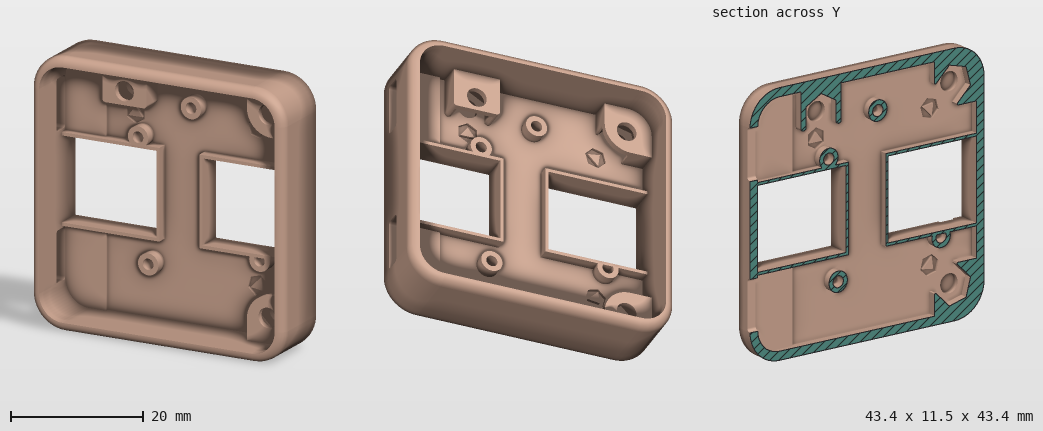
import cadquery as cq
import math

side = 43.4
depth = 11.5
corner_radius = 5.5
wall = 1.5
floor_thickness = 2.5
inner_side = side - 2 * wall
inner_half = inner_side / 2
back_y = depth / 2
floor_y = back_y - floor_thickness

step_width = 6.9
step_height = 0.5

window_inner_x = 3.95
window_height = 13.75
frame_thickness = 0.5
frame_height = 1.85

post_radius = 1.75
post_hole_radius = 0.9
post_centres = [(2.0, 14.5), (-7.07, 8.55), (13.7, -7.85), (-5.35, -11.3)]

nut_half_width = 2.75
nut_thickness = 2.5
plate_thickness = 1.0
holder_height = nut_thickness + plate_thickness
nut_corner_radius = nut_half_width / math.cos(math.radians(30))
flare_start = 1.95
flare_length = 3.47
flare_half_angle = 60
screw_radius = 1.6
screw_recess = 1.0
screw_offset = 16.05
edge_screw_x = -8.5

corner_holder_edge = 12.45
corner_holder_radius = 4.25
edge_holder_width = 7.55
edge_holder_bottom = 13.85
edge_holder_radius = 0.5

mark_depth = 0.5
mark_radius = 1.75
arrow_tip = 1.0
arrow_base = -0.6
arrow_half_width = 1.2
corner_mark_distance = 5.08
edge_mark_distance = 4.3

slot_length = 8.4
slot_width = 2.78
slot_radius = 0.5
slot_centre_z = 12.02
slot_centre_y = back_y - 4.6

notch_width = 2.7
notch_height = 0.65
notch_depth = 0.45
notch_centre_x = 17.25


def plane_at(y, x=0, z=0, tilt=0):
    """Workplane facing -Y at depth y, turned counter-clockwise by tilt as seen from the front."""
    angle = math.radians(tilt)
    right = (math.cos(angle), 0, math.sin(angle))
    return cq.Workplane(cq.Plane(origin=(x, y, z), xDir=right, normal=(0, -1, 0)))


def shell():
    body = plane_at(back_y).rect(side, side).extrude(depth)
    body = body.edges("|Y").fillet(corner_radius)
    body = body.faces(">Y or <Y").edges().fillet(wall)
    return body.cut(cavity())


def cavity():
    block = plane_at(floor_y).rect(inner_side, inner_side).extrude(depth)
    return block.edges("|Y").fillet(corner_radius - wall)


def floor_step():
    centre_x = -inner_half + step_width / 2
    step = plane_at(floor_y, centre_x).rect(step_width, inner_side).extrude(step_height)
    return step.intersect(cavity())


def window_block(x_sign, margin, start_y, length):
    """Block as wide as a window enlarged by margin, reaching from the side wall inwards."""
    inner_x = window_inner_x - margin
    width = inner_half - inner_x
    centre_x = x_sign * (inner_x + width / 2)
    return plane_at(start_y, centre_x).rect(width, window_height + 2 * margin).extrude(length)


def holder_slot(screw_x, screw_z, tilt):
    """Nut slot, screw hole and blind screw recess; the slot opens along the tilted upward axis."""
    flare_width = nut_half_width + flare_length * math.tan(math.radians(flare_half_angle))
    flare_end = flare_start + flare_length
    slot = (
        plane_at(floor_y, screw_x, screw_z, tilt)
        .moveTo(0, -nut_corner_radius)
        .lineTo(nut_half_width, -nut_corner_radius / 2)
        .lineTo(nut_half_width, flare_start)
        .lineTo(flare_width, flare_end)
        .lineTo(-flare_width, flare_end)
        .lineTo(-nut_half_width, flare_start)
        .lineTo(-nut_half_width, -nut_corner_radius / 2)
        .close()
        .extrude(nut_thickness)
    )
    hole_length = screw_recess + holder_height
    hole = plane_at(floor_y + screw_recess, screw_x, screw_z).circle(screw_radius).extrude(hole_length)
    return slot, hole


def corner_holder(z_sign):
    size = inner_half - corner_holder_edge
    centre = corner_holder_edge + size / 2
    block = plane_at(floor_y, centre, z_sign * centre).rect(size, size).extrude(holder_height)
    inner_edge = "|Y and <X and " + ("<Z" if z_sign > 0 else ">Z")
    block = block.edges(inner_edge).fillet(corner_holder_radius)
    return block.intersect(cavity())


def edge_holder():
    height = inner_half - edge_holder_bottom
    centre_z = edge_holder_bottom + height / 2
    block = plane_at(floor_y, edge_screw_x, centre_z).rect(edge_holder_width, height).extrude(holder_height)
    return block.edges("|Y and <Z").fillet(edge_holder_radius)


def mark(screw_x, screw_z, tilt, distance):
    """Hexagonal recess around an arrow left at floor level, pointing back at the screw."""
    angle = math.radians(tilt)
    x = screw_x - distance * math.sin(angle)
    z = screw_z + distance * math.cos(angle)
    base = plane_at(floor_y + mark_depth, x, z, tilt + 180)
    corners = [(mark_radius * math.sin(math.radians(a)), mark_radius * math.cos(math.radians(a)))
               for a in range(0, 360, 60)]
    hexagon = base.polyline(corners).close().extrude(mark_depth)
    arrow_points = [(0, arrow_tip), (arrow_half_width, arrow_base), (-arrow_half_width, arrow_base)]
    arrow = base.polyline(arrow_points).close().extrude(mark_depth)
    return hexagon.cut(arrow)


def wall_slot(z):
    plane = cq.Workplane("YZ", origin=(-side / 2, slot_centre_y, z))
    slot = plane.rect(slot_width, slot_length).extrude(wall)
    return slot.edges("|X").fillet(slot_radius)


def window_notch():
    centre_z = -(window_height + notch_height) / 2
    return plane_at(back_y, notch_centre_x, centre_z).rect(notch_width, notch_height).extrude(notch_depth)


result = shell().union(floor_step())

holders = [
    (corner_holder(1), screw_offset, screw_offset, 135, corner_mark_distance),
    (corner_holder(-1), screw_offset, -screw_offset, 45, corner_mark_distance),
    (edge_holder(), edge_screw_x, screw_offset, 180, edge_mark_distance),
]
for block, screw_x, screw_z, tilt, mark_distance in holders:
    slot, hole = holder_slot(screw_x, screw_z, tilt)
    result = result.union(block.cut(slot)).cut(hole)
    result = result.cut(mark(screw_x, screw_z, tilt, mark_distance))

posts = plane_at(floor_y).pushPoints(post_centres).circle(post_radius).extrude(frame_height)
post_holes = plane_at(back_y).pushPoints(post_centres).circle(post_hole_radius).extrude(depth)
result = result.union(posts).cut(post_holes)

for x_sign in (-1, 1):
    result = result.union(window_block(x_sign, frame_thickness, floor_y, frame_height))
for x_sign in (-1, 1):
    result = result.cut(window_block(x_sign, 0, back_y, depth))
result = result.cut(window_notch())

for z_sign in (-1, 1):
    result = result.cut(wall_slot(z_sign * slot_centre_z))